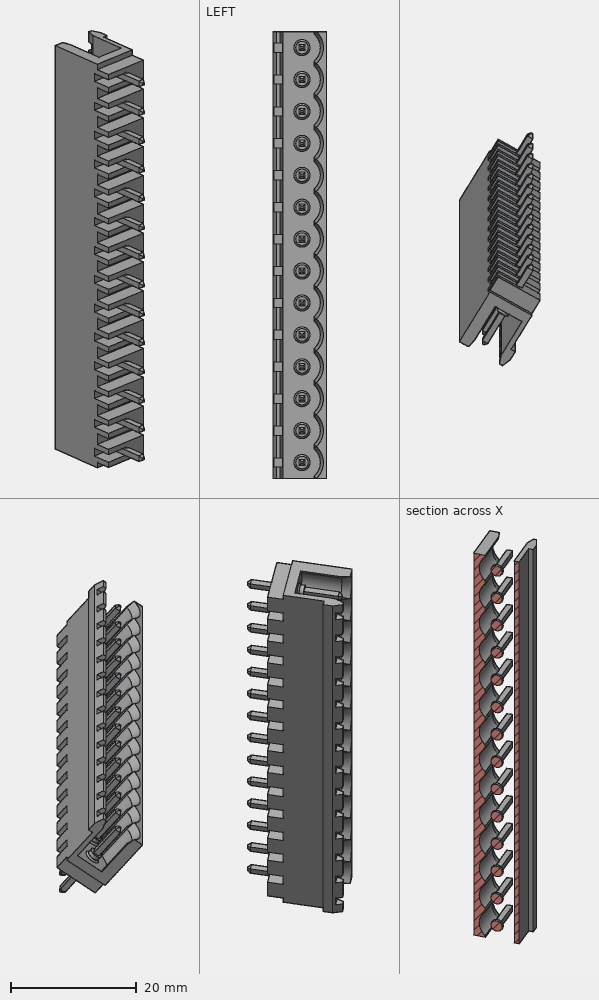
import cadquery as cq

LENGTH = 71.1
PIN_COUNT = 14
PITCH = LENGTH / PIN_COUNT
PIN_HEIGHTS = [(i + 0.5) * PITCH for i in range(PIN_COUNT)]

FLOOR_X = 8.0
BACK_X = 9.7
FEET_X = 12.2
BODY_TOP_Y = 7.75
THICK_WALL_Y = 2.0
THICK_WALL_TIP_Y = 1.7
LATCH_INNER_Y = 6.9

LIP_Y = 8.5
LIP_LENGTH = 3.05
LEAD_IN = 1.5
TIP_INNER_Y = 7.4
TIP_OUTER_Y = 8.0
NOTCH_DEPTH = 1.1
NOTCH_WIDTH = 1.5

PIN_Y = 3.9
SCALLOP_RADIUS = 2.9
SCALLOP_MOUTH_RADIUS = 3.4

FOOT_WIDTH = 3.2
SLOT_WIDTH = 1.35
SLOT_START_X = 9.0
POCKET_DEPTH = 2.1

PIN_SIZE = 1.0
PIN_START_X = 0.85
PIN_END_X = 16.2
PIN_TIP_LENGTH = 0.6
PIN_TIP_SIZE = 0.35
COLLAR_START_X = 7.0
COLLAR_RADIUS = 1.0
COLLAR_BASE_RADIUS = 1.3
COLLAR_FLARE = 0.3


def box(x0, x1, y0, y1, z0, z1):
    return cq.Workplane("XY").box(x1 - x0, y1 - y0, z1 - z0, centered=False).translate((x0, y0, z0))


def make_channel():
    """Channel section with the latch lip and sloped entries, before scalloping."""
    outline = [
        (0, 0),
        (BACK_X, 0),
        (BACK_X, BODY_TOP_Y),
        (LIP_LENGTH, BODY_TOP_Y),
        (LIP_LENGTH, LIP_Y),
        (LEAD_IN, LIP_Y),
        (0, TIP_OUTER_Y),
        (0, TIP_INNER_Y),
        (LEAD_IN, LATCH_INNER_Y),
        (FLOOR_X, LATCH_INNER_Y),
        (FLOOR_X, THICK_WALL_Y),
        (LEAD_IN, THICK_WALL_Y),
        (0, THICK_WALL_TIP_Y),
    ]
    return cq.Workplane("XY").polyline(outline).close().extrude(LENGTH)


def make_scallop(z):
    """Round pocket about one pin, opening out in a cone at the mouth."""
    profile = [
        (0, 0),
        (0, SCALLOP_MOUTH_RADIUS),
        (LEAD_IN, SCALLOP_RADIUS),
        (FLOOR_X, SCALLOP_RADIUS),
        (FLOOR_X, 0),
    ]
    pocket = cq.Workplane("XY").polyline(profile).close().revolve(360, (0, 0), (1, 0))
    pocket = pocket.translate((0, PIN_Y, z))
    return pocket.intersect(box(0, FLOOR_X, 0, PIN_Y, z - PITCH / 2, z + PITCH / 2))


def make_notch(z):
    """Gap across the free edge of the latch lip."""
    return box(0, NOTCH_DEPTH, LATCH_INNER_Y, LIP_Y, z - NOTCH_WIDTH / 2, z + NOTCH_WIDTH / 2)


def make_foot(z):
    return box(BACK_X, FEET_X, 0, BODY_TOP_Y, z - FOOT_WIDTH / 2, z + FOOT_WIDTH / 2)


def make_slot(z):
    """Slot in a foot down to the middle of the pin, with a shallow pocket ahead of it."""
    low = z - SLOT_WIDTH / 2
    high = z + SLOT_WIDTH / 2
    foot_slot = box(BACK_X, FEET_X, 0, PIN_Y, low, high)
    pocket = box(SLOT_START_X, BACK_X, 0, POCKET_DEPTH, low, high)
    return foot_slot.union(pocket)


def make_pin(z):
    """Square pin with tapered ends and a round collar on the channel floor."""
    shank_start = PIN_START_X + PIN_TIP_LENGTH
    shank_end = PIN_END_X - PIN_TIP_LENGTH
    half = PIN_SIZE / 2
    shank = box(shank_start, shank_end, -half, half, -half, half)

    def tip(x, direction):
        return (
            cq.Workplane("YZ", origin=(x, 0, 0))
            .rect(PIN_SIZE, PIN_SIZE)
            .workplane(offset=direction * PIN_TIP_LENGTH)
            .rect(PIN_TIP_SIZE, PIN_TIP_SIZE)
            .loft(combine=True)
        )

    collar_profile = [
        (COLLAR_START_X, 0),
        (COLLAR_START_X, COLLAR_RADIUS),
        (FLOOR_X - COLLAR_FLARE, COLLAR_RADIUS),
        (FLOOR_X, COLLAR_BASE_RADIUS),
        (FLOOR_X, 0),
    ]
    collar = cq.Workplane("XY").polyline(collar_profile).close().revolve(360, (0, 0), (1, 0))
    pin = shank.union(tip(shank_start, -1)).union(tip(shank_end, 1)).union(collar)
    return pin.translate((0, PIN_Y, z))


def repeat(make_feature):
    """One compound holding the feature at every pin."""
    return cq.Workplane(cq.Compound.makeCompound([make_feature(z).val() for z in PIN_HEIGHTS]))


result = make_channel()
for height in PIN_HEIGHTS:
    result = result.cut(make_scallop(height), clean=False)
result = result.cut(repeat(make_notch))
result = result.union(repeat(make_foot)).cut(repeat(make_slot))
result = result.union(repeat(make_pin))